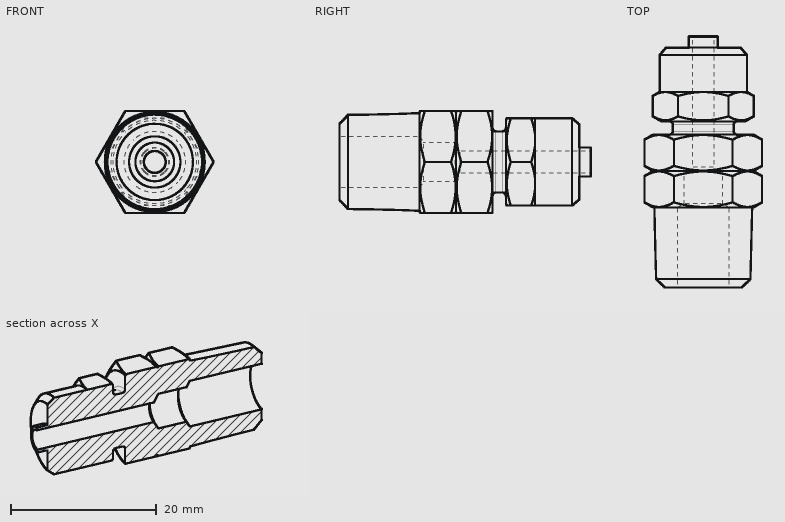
import cadquery as cq
import math

total_length = 34.5
thread_length = 11.0
body_hex_length = 5.0
neck_length = 1.8
nut_hex_length = 4.05
tip_length = 1.6

thread_base_radius = 6.73
thread_end_radius = 6.5
thread_face_radius = 5.25
thread_chamfer_length = 1.17

body_hex_flats = 14.0
body_chamfer_radius = 6.85
nut_hex_flats = 12.0
nut_rear_chamfer_radius = 5.73
chamfer_slope = math.tan(math.radians(30))

neck_radius = 4.2
neck_fillet = 0.4
sleeve_radius = nut_hex_flats / 2
sleeve_face_radius = 5.15
sleeve_chamfer_length = 1.0
tip_radius = 2.0
tip_chamfer = 0.1

through_radius = 1.5
middle_bore_radius = 2.65
entry_bore_radius = 3.52
entry_bore_depth = 11.05
middle_bore_depth = 15.87
drill_slope = math.tan(math.radians(30))

body_hex_start = thread_length
neck_start = body_hex_start + 2 * body_hex_length
nut_hex_start = neck_start + neck_length
sleeve_start = nut_hex_start + nut_hex_length
sleeve_end = total_length - tip_length


def revolve_profile(points):
    """Revolve a closed (radius, y) polygon around the Y axis."""
    return cq.Workplane("XY").polyline(points).close().revolve(360, (0, 0, 0), (0, 1, 0))


def chamfered_hex(start, length, flats, start_radius, end_radius):
    """Hexagonal prism along Y, corners on X, trimmed by a cone at each end."""
    corner_radius = flats / math.sqrt(3)
    end = start + length
    prism = (
        cq.Workplane("XZ", origin=(0, start, 0))
        .polygon(6, 2 * corner_radius)
        .extrude(-length)
    )
    envelope = revolve_profile([
        (0, start),
        (start_radius, start),
        (corner_radius, start + (corner_radius - start_radius) * chamfer_slope),
        (corner_radius, end - (corner_radius - end_radius) * chamfer_slope),
        (end_radius, end),
        (0, end),
    ])
    return prism.intersect(envelope)


def threaded_end():
    return revolve_profile([
        (0, 0),
        (thread_face_radius, 0),
        (thread_end_radius, thread_chamfer_length),
        (thread_base_radius, thread_length),
        (0, thread_length),
    ])


def neck():
    """Round neck blending into the faces on both sides with concave fillets."""
    flare_radius = neck_radius + neck_fillet
    arc_reach = neck_fillet * (1 - math.sqrt(0.5))
    return (
        cq.Workplane("XY")
        .moveTo(0, neck_start)
        .lineTo(flare_radius, neck_start)
        .threePointArc(
            (neck_radius + arc_reach, neck_start + arc_reach),
            (neck_radius, neck_start + neck_fillet),
        )
        .lineTo(neck_radius, nut_hex_start - neck_fillet)
        .threePointArc(
            (neck_radius + arc_reach, nut_hex_start - arc_reach),
            (flare_radius, nut_hex_start),
        )
        .lineTo(0, nut_hex_start)
        .close()
        .revolve(360, (0, 0, 0), (0, 1, 0))
    )


def sleeve_and_tip():
    return revolve_profile([
        (0, sleeve_start),
        (sleeve_radius, sleeve_start),
        (sleeve_radius, sleeve_end - sleeve_chamfer_length),
        (sleeve_face_radius, sleeve_end),
        (tip_radius, sleeve_end),
        (tip_radius, total_length - tip_chamfer),
        (tip_radius - tip_chamfer, total_length),
        (0, total_length),
    ])


def stepped_bore():
    """Two drilled steps with conical bottoms, then the through hole."""
    entry_cone = (entry_bore_radius - middle_bore_radius) * drill_slope
    middle_cone = (middle_bore_radius - through_radius) * drill_slope
    return revolve_profile([
        (0, 0),
        (entry_bore_radius, 0),
        (entry_bore_radius, entry_bore_depth),
        (middle_bore_radius, entry_bore_depth + entry_cone),
        (middle_bore_radius, middle_bore_depth),
        (through_radius, middle_bore_depth + middle_cone),
        (through_radius, total_length),
        (0, total_length),
    ])


fitting = threaded_end()
for index in range(2):
    hex_start = body_hex_start + index * body_hex_length
    fitting = fitting.union(chamfered_hex(
        hex_start, body_hex_length, body_hex_flats, body_chamfer_radius, body_chamfer_radius
    ))
fitting = fitting.union(neck())
fitting = fitting.union(chamfered_hex(
    nut_hex_start, nut_hex_length, nut_hex_flats, nut_rear_chamfer_radius, sleeve_radius
))
fitting = fitting.union(sleeve_and_tip())

result = fitting.cut(stepped_bore())